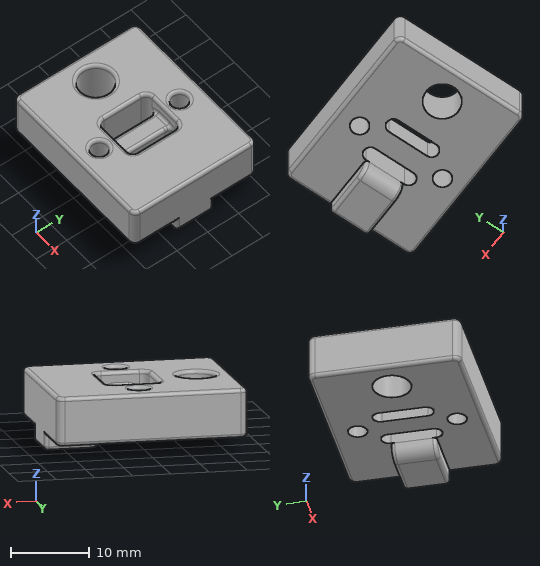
import cadquery as cq

block_length = 25.0
block_width = 20.0
block_height = 6.4
block_corner_radius = 1.0
edge_radius = 0.5

feature_y = -0.1

large_hole_diameter = 5.0
large_hole_x = -8.0
small_hole_diameter = 2.5
small_hole_offset_y = 6.5

pocket_x = 1.0
pocket_length = 7.0
pocket_width = 8.0
pocket_corner_radius = 1.0
bar_width = 3.0
bar_depth = 2.0

tab_length = 8.0
tab_width = 6.0
tab_drop = 2.0
tab_nose_radius = tab_drop

window_length = (pocket_length - bar_width) / 2
window_offset = (bar_width + window_length) / 2
bar_top = block_height - bar_depth

selection_margin = 0.02


def rounded_block():
    return (
        cq.Workplane("XY")
        .box(block_length, block_width, block_height, centered=(True, True, False))
        .edges("|Z")
        .fillet(block_corner_radius)
        .faces("<Z or >Z")
        .edges()
        .fillet(edge_radius)
    )


def tab():
    """Tab with a quarter-round nose; its root reaches up past the block's rounded bottom edge."""
    tab_end = block_length / 2
    nose = tab_end - tab_length
    body = (
        cq.Workplane("XZ", origin=(0, feature_y + tab_width / 2, 0))
        .moveTo(nose, edge_radius)
        .lineTo(nose, 0)
        .radiusArc((nose + tab_nose_radius, -tab_drop), -tab_nose_radius)
        .lineTo(tab_end, -tab_drop)
        .lineTo(tab_end, edge_radius)
        .close()
        .extrude(tab_width)
    )
    body = body.edges("|Z and >X").fillet(edge_radius)
    return body.faces("<Z").edges("not(<X)").fillet(edge_radius)


def hole(diameter, x, y):
    """Cutter for a through hole whose top rim is rounded outwards."""
    radius = diameter / 2
    rim_start = block_height - edge_radius
    return (
        cq.Workplane("XZ", origin=(x, y, 0))
        .lineTo(radius, 0)
        .lineTo(radius, rim_start)
        .radiusArc((radius + edge_radius, block_height), edge_radius)
        .lineTo(0, block_height)
        .close()
        .revolve(360, (0, 0), (0, 1))
    )


def pocket():
    """Cutter for the pocket above the bar."""
    return (
        cq.Workplane("XY", origin=(pocket_x, feature_y, bar_top))
        .rect(pocket_length, pocket_width)
        .extrude(bar_depth)
        .edges("|Z")
        .fillet(pocket_corner_radius)
    )


def windows():
    """Cutter for the two round-ended windows beside the bar."""
    return (
        cq.Workplane("XY", origin=(pocket_x, feature_y, 0))
        .pushPoints([(-window_offset, 0), (window_offset, 0)])
        .slot2D(pocket_width, window_length, 90)
        .extrude(bar_top)
    )


def pocket_edges(body, height):
    """Edges of the pocket that lie flat at the given height."""
    half_length = pocket_length / 2 + selection_margin
    half_width = pocket_width / 2 + selection_margin
    low_corner = (pocket_x - half_length, feature_y - half_width, height - selection_margin)
    high_corner = (pocket_x + half_length, feature_y + half_width, height + selection_margin)
    return body.edges(cq.selectors.BoxSelector(low_corner, high_corner, boundingbox=True))


result = rounded_block().union(tab())
result = result.cut(pocket()).cut(windows())

result = pocket_edges(result, bar_top).fillet(edge_radius)
result = pocket_edges(result, block_height).fillet(edge_radius)

result = result.cut(hole(large_hole_diameter, large_hole_x, feature_y))
for side in (-1, 1):
    small_hole_y = feature_y + side * small_hole_offset_y
    result = result.cut(hole(small_hole_diameter, pocket_x, small_hole_y))